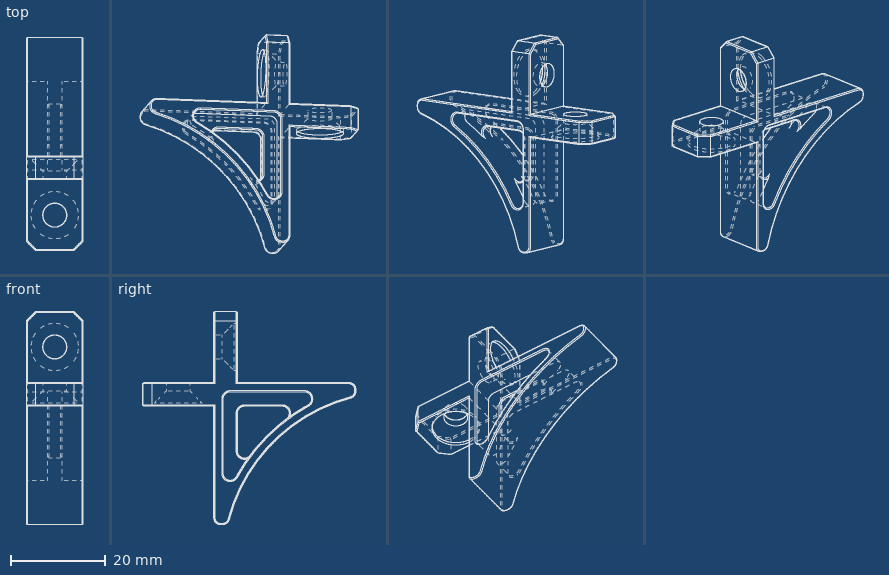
import cadquery as cq
import math

overall = 45.0
width = 12.0
thickness = 5.0
short_arm = overall / 3
long_arm = overall - short_arm

tip_height = 3.0
brace_radius = 36.0
corner_round = 1.5
edge_chamfer = 0.25
end_bevel = 2.0

wall = 2.0
pocket_round = 1.5
web_thickness = 3.0

hole_diameter = 5.0
sink_diameter = 10.0
sink_straight_depth = 0.7

chord_half = (long_arm - tip_height) / math.sqrt(2)
chord_middle = (long_arm + tip_height) / math.sqrt(2)
arc_centre_distance = chord_middle + math.sqrt(brace_radius**2 - chord_half**2)
arc_centre = arc_centre_distance / math.sqrt(2)


def diagonal_point(radius):
    """Point where an arc about the brace centre crosses the diagonal."""
    distance = arc_centre_distance - radius
    return (distance / math.sqrt(2), -distance / math.sqrt(2))


def prism(sketch, length):
    """Extrude a YZ outline by the given length, centred on X = 0."""
    return sketch.extrude(length / 2, both=True)


def corner_triangle(offset, length):
    """Rounded prism between two straight walls at the offset and the inner brace arc."""
    radius = brace_radius + wall
    reach = arc_centre - math.sqrt(radius**2 - (arc_centre - offset) ** 2)
    outline = (
        cq.Workplane("YZ")
        .moveTo(offset, -offset)
        .lineTo(reach, -offset)
        .threePointArc(diagonal_point(radius), (offset, -reach))
        .close()
    )
    return prism(outline, length).edges("|X").fillet(pocket_round)


def make_body():
    """Two crossing plates with the curved brace between their long legs."""
    outline = (
        cq.Workplane("YZ")
        .moveTo(long_arm, 0)
        .lineTo(long_arm, -tip_height)
        .threePointArc(diagonal_point(brace_radius), (tip_height, -long_arm))
        .lineTo(0, -long_arm)
        .lineTo(0, -thickness)
        .lineTo(-short_arm, -thickness)
        .lineTo(-short_arm, 0)
        .lineTo(0, 0)
        .lineTo(0, short_arm)
        .lineTo(thickness, short_arm)
        .lineTo(thickness, 0)
        .close()
    )
    body = prism(outline, width)
    body = body.edges("|X").edges(">Y or <Z").fillet(corner_round)
    body = body.faces("<Y").edges("|Z").chamfer(end_bevel)
    return body.faces(">Z").edges("|Y").chamfer(end_bevel)


def break_edges(body):
    """Chamfer both side outlines and the end outlines of the two mounting plates."""
    box = cq.selectors.BoxSelector
    parallel = cq.selectors.ParallelDirSelector
    bevel_start = short_arm - end_bevel - edge_chamfer
    horizontal_end = box((-width, -overall, -overall), (width, -bevel_start, overall))
    upright_end = box((-width, -overall, bevel_start), (width, overall, overall))
    outlines = cq.selectors.InverseSelector(parallel(cq.Vector(1, 0, 0)))
    through_thickness = (horizontal_end & parallel(cq.Vector(0, 0, 1))) + (
        upright_end & parallel(cq.Vector(0, 1, 0))
    )
    selected = outlines + horizontal_end + upright_end - through_thickness
    return body.edges(selected).chamfer(edge_chamfer)


def make_web():
    """Thin plate across the pocket, with a chamfered window that meets the arc wall."""
    block = cq.Workplane("XY").box(web_thickness, 2 * overall, 2 * overall)
    rims = cq.selectors.BoxSelector((-width, 0, -long_arm), (width, long_arm, 0))
    frame = block.cut(corner_triangle(thickness, width))
    frame = frame.faces("<X or >X").edges(rims).chamfer(edge_chamfer)
    flared_plug = block.cut(frame)
    return corner_triangle(wall, web_thickness).cut(flared_plug)


def screw_hole(mouth):
    """Countersunk hole cutter; the mouth workplane's normal points into the plate."""
    cone_depth = (sink_diameter - hole_diameter) / 2
    shaft = mouth.circle(hole_diameter / 2).extrude(thickness)
    straight = mouth.circle(sink_diameter / 2).extrude(sink_straight_depth)
    cone = (
        mouth.workplane(offset=sink_straight_depth)
        .circle(sink_diameter / 2)
        .workplane(offset=cone_depth)
        .circle(hole_diameter / 2)
        .loft()
    )
    return shaft.union(straight).union(cone)


upright_mouth = cq.Workplane(
    cq.Plane(origin=(0, thickness, short_arm / 2), xDir=(1, 0, 0), normal=(0, -1, 0))
)
horizontal_mouth = cq.Workplane(
    cq.Plane(origin=(0, -short_arm / 2, -thickness), xDir=(1, 0, 0), normal=(0, 0, 1))
)

pocketed_body = make_body().cut(corner_triangle(wall, width))
result = break_edges(pocketed_body).union(make_web())
for mouth in (upright_mouth, horizontal_mouth):
    result = result.cut(screw_hole(mouth))